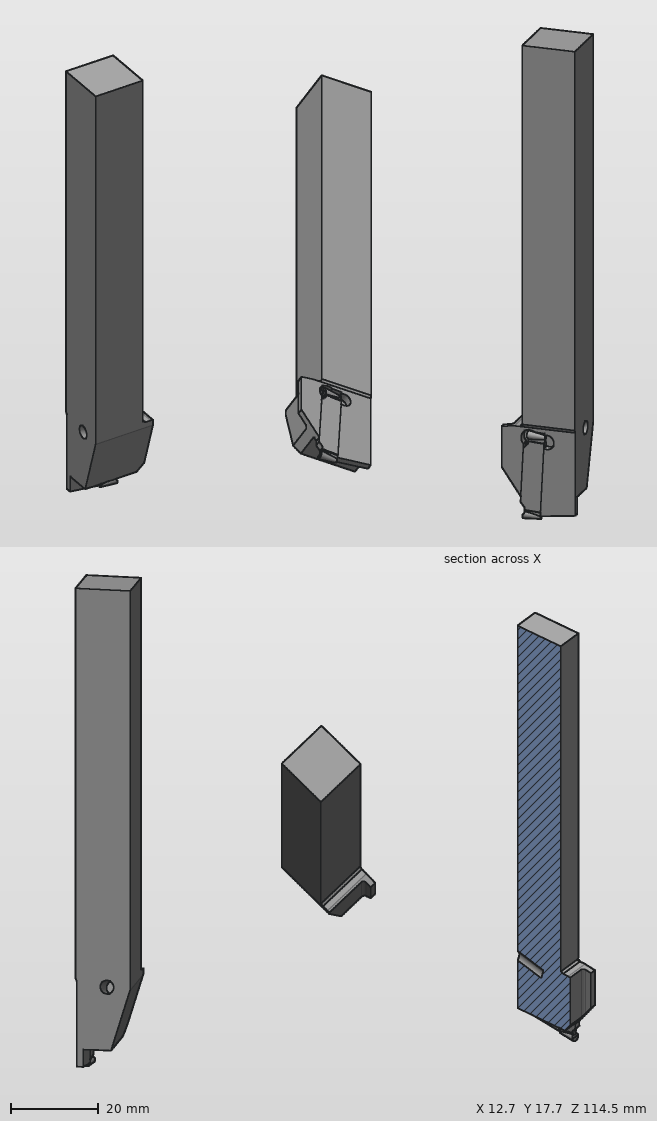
import cadquery as cq
import math

total_length = 114.5
shank_width = 12.7

reach = 17.7
face_relief = 0.29
relief_end_z = 23.0
head_top_z = 22.3
blade_thickness = 1.5
blade_back_x = face_relief + blade_thickness
blade_front_z = 2.3
blade_seat_y = 9.7
blade_seat_z = 1.0
jaw_top_z = 21.9
jaw_corner_z = 12.0
jaw_toe_y = 11.5
jaw_toe_z = 3.0
jaw_slope_y = 14.8
support_y = 15.5
support_bottom_z = 6.4
support_fillet = 0.7
taper_top_z = 21.0
taper_bottom_x = 8.2
shoulder_width = 0.7
shoulder_height = 0.3

hole_x = 7.3
hole_z = 21.3
hole_diameter = 3.1
hole_depth = 7.4
hole_tilt = 15.0

insert_length = 21.3
insert_height = 4.9
insert_tilt = 3.0
insert_y = 10.4
tip_y = 1.7
groove_y = 1.43
lip_length = 1.1
groove_length = 1.6
groove_ramp_length = 2.9
groove_end_length = 4.1
ball_radius = 1.0
web_thickness = 0.9
cutting_end_length = 2.3
clearance_angle = 7.0
insert_x = face_relief + blade_thickness / 2
tilt = math.radians(insert_tilt)
insert_z = insert_length / 2 * math.cos(tilt) - tip_y * math.sin(tilt)

pocket_floor_x = 2.3
pocket_gap = 0.2
jaw_relief_y, jaw_relief_z, jaw_relief_radius = 11.0, 19.7, 2.1
seat_relief_y, seat_relief_z, seat_relief_radius = 6.9, 19.2, 1.7


def place_in_seat(body):
    """Move a body made around the insert centre into the tilted seat."""
    turned = body.rotate((0, 0, 0), (1, 0, 0), insert_tilt)
    return turned.translate((insert_x, insert_y, insert_z))


def x_prism(points, x_start, x_end):
    """Prism along X over a (Y, Z) outline."""
    return cq.Workplane("YZ", origin=(x_start, 0, 0)).polyline(points).close().extrude(x_end - x_start)


def make_cutting_end(end):
    """Cone that narrows away from the cutting edge to clear the work, on a thin web."""
    half_length = insert_length / 2
    ball_z = half_length - ball_radius
    cone_height = tip_y + insert_height / 2
    small_radius = ball_radius - cone_height * math.tan(math.radians(clearance_angle))
    cone = cq.Solid.makeCone(
        ball_radius, small_radius, cone_height, cq.Vector(0, tip_y, end * ball_z), cq.Vector(0, -1, 0)
    )
    neck_end_z = half_length - cutting_end_length
    web = cq.Workplane("XY", origin=(0, 0, end * (neck_end_z + ball_z) / 2)).box(
        web_thickness, insert_height, ball_z - neck_end_z
    )
    return web.union(cq.Workplane(cone))


def make_insert():
    half_length = insert_length / 2
    half_height = insert_height / 2
    neck_length = insert_length - 2 * cutting_end_length
    body = cq.Workplane("XY").box(blade_thickness, insert_height, neck_length)
    for end in (-1, 1):
        body = body.union(make_cutting_end(end))

    for end in (-1, 1):
        profile = [
            (half_height, end * (half_length - groove_end_length)),
            (groove_y, end * (half_length - groove_ramp_length)),
            (groove_y, end * (half_length - groove_length)),
            (tip_y, end * (half_length - lip_length)),
            (tip_y, end * half_length),
            (half_height, end * half_length),
        ]
        body = body.cut(x_prism(profile, -ball_radius, ball_radius))
    return place_in_seat(body)


def make_blank():
    """Shank and blade end before the seat and the hole are cut."""
    shank = cq.Workplane("XY", origin=(0, 0, head_top_z)).box(
        shank_width, shank_width, total_length - head_top_z, centered=False
    )
    head_outline = [
        (0, blade_front_z),
        (blade_seat_y, blade_seat_z),
        (jaw_toe_y, jaw_toe_z),
        (reach, jaw_corner_z),
        (reach, jaw_top_z),
        (jaw_slope_y, head_top_z),
        (shank_width + shoulder_width, head_top_z),
        (shank_width, head_top_z + shoulder_height),
        (0, head_top_z + shoulder_height),
    ]
    head = x_prism(head_outline, 0, shank_width)
    blank = shank.union(head)

    behind_width = shank_width - blade_back_x
    behind_jaw = cq.Workplane("XY", origin=(blade_back_x, support_y, 0)).box(
        behind_width, reach - support_y, head_top_z, centered=False
    )
    behind_jaw = behind_jaw.edges("|Z and <X and <Y").fillet(support_fillet)
    below_support = cq.Workplane("XY", origin=(blade_back_x, 0, 0)).box(
        behind_width, reach, support_bottom_z, centered=False
    )
    return blank.cut(behind_jaw).cut(below_support)


def cut_sides(blank):
    """Set the blade face back and taper the opposite side."""
    relief = (
        cq.Workplane("XZ")
        .polyline([(0, 0), (face_relief, 0), (face_relief, head_top_z), (0, relief_end_z)])
        .close()
        .extrude(-reach)
    )
    taper = (
        cq.Workplane("XZ")
        .polyline([
            (shank_width, support_bottom_z),
            (taper_bottom_x, support_bottom_z),
            (shank_width, taper_top_z),
        ])
        .close()
        .extrude(-reach)
    )
    return blank.cut(relief).cut(taper)


def make_hole():
    angle = math.radians(hole_tilt)
    axis = cq.Vector(0, math.cos(angle), -math.sin(angle))
    lead_in = hole_diameter
    start = cq.Vector(hole_x, 0, hole_z) - axis * lead_in
    return cq.Workplane(cq.Solid.makeCylinder(hole_diameter / 2, hole_depth + lead_in, start, axis))


def make_seat():
    """Slot for the insert, with the relief pocket at its inner end."""
    slot = place_in_seat(cq.Workplane("XY").box(blade_thickness, insert_height, insert_length))
    pocket_depth = pocket_floor_x - face_relief
    end_length = cutting_end_length + pocket_gap
    end_pocket = cq.Workplane("XY").box(pocket_depth, insert_height, end_length, centered=(False, True, False))
    end_pocket = end_pocket.translate((-blade_thickness / 2, 0, insert_length / 2 + pocket_gap - end_length))
    seat = slot.union(place_in_seat(end_pocket))
    for y, z, radius in (
        (jaw_relief_y, jaw_relief_z, jaw_relief_radius),
        (seat_relief_y, seat_relief_z, seat_relief_radius),
    ):
        seat = seat.union(cq.Workplane("YZ", origin=(face_relief, y, z)).circle(radius).extrude(pocket_depth))
    return seat


holder = cut_sides(make_blank()).cut(make_hole()).cut(make_seat())
insert = make_insert()

result = cq.Compound.makeCompound([holder.val(), insert.val()])